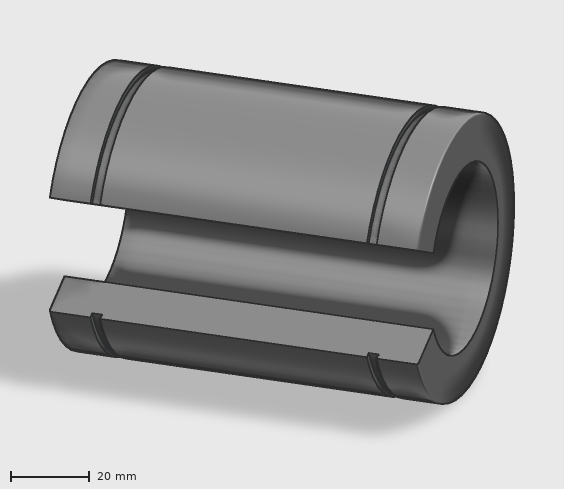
import cadquery as cq
import math

length = 100.0
outer_diameter = 75.0
bore_diameter = 50.0
edge_radius = 0.6

groove_diameter = 72.0
groove_width = 2.65
groove_span = 77.6
groove_offset = (groove_span - groove_width) / 2

slot_mouth = 21.0
slot_half_angle = math.asin(slot_mouth / bore_diameter)

cutter_radius = outer_diameter


def make_sleeve():
    """Tube centred on the origin with its outer end rims rounded."""
    body = cq.Workplane("YZ").circle(outer_diameter / 2).extrude(length / 2, both=True)
    body = body.faces("<X or >X").edges().fillet(edge_radius)
    bore = cq.Workplane("YZ").circle(bore_diameter / 2).extrude(length / 2, both=True)
    return body.cut(bore)


def make_groove_cutter(center_x):
    """Ring of material removed for one retaining ring groove."""
    return (
        cq.Workplane("YZ", origin=(center_x - groove_width / 2, 0, 0))
        .circle(cutter_radius)
        .circle(groove_diameter / 2)
        .extrude(groove_width)
    )


def make_slot_cutter():
    """Wedge with its tip on the axis, widening toward -Y."""
    half_height = cutter_radius * math.tan(slot_half_angle)
    return (
        cq.Workplane("YZ")
        .polyline([(0, 0), (-cutter_radius, half_height), (-cutter_radius, -half_height)])
        .close()
        .extrude(length / 2, both=True)
    )


result = make_sleeve()
for groove_center in (-groove_offset, groove_offset):
    result = result.cut(make_groove_cutter(groove_center))
result = result.cut(make_slot_cutter())